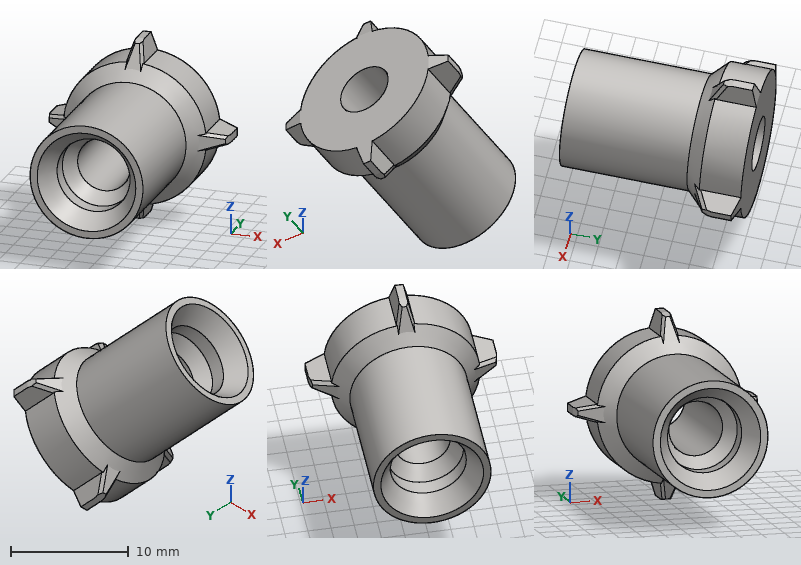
import cadquery as cq
import math

total_length = 16.2
tube_radius = 5.09
head_radius = 6.44
head_length = 3.63
shoulder_length = 1.4

mouth_radius = 4.44
seat_radius = 3.28
hole_radius = 2.37
mouth_cone_length = 1.84
seat_length = 1.37
throat_cone_length = 1.35

fin_count = 4
fin_tip_radius = 8.13
fin_inner_radius = 5.53
fin_tip_width = 0.72
fin_flank_angle = 14
fin_back_drop = 0.44
fin_tip_end = 2.18
fin_nose_radius = 7.93
fin_nose_depth = 3.02
fin_front_angle = 29
fin_chamfer_front = 0.21
fin_chamfer_flank = 0.33


def make_body():
    shoulder_end = total_length - head_length
    shoulder_start = shoulder_end - shoulder_length
    seat_start = mouth_cone_length
    seat_end = seat_start + seat_length
    throat_end = seat_end + throat_cone_length
    section = [
        (mouth_radius, 0),
        (tube_radius, 0),
        (tube_radius, shoulder_start),
        (head_radius, shoulder_end),
        (head_radius, total_length),
        (hole_radius, total_length),
        (hole_radius, throat_end),
        (seat_radius, seat_end),
        (seat_radius, seat_start),
    ]
    return cq.Workplane("XY").polyline(section).close().revolve(360, (0, 0), (0, 1))


def make_fin():
    """Fin on the +X side, narrowing towards its tip, with a bevelled front."""
    front_drop = (fin_nose_radius - fin_inner_radius) * math.tan(math.radians(fin_front_angle))
    side_profile = [
        (fin_inner_radius, total_length),
        (head_radius, total_length),
        (fin_tip_radius, total_length - fin_back_drop),
        (fin_tip_radius, total_length - fin_tip_end),
        (fin_nose_radius, total_length - fin_nose_depth),
        (fin_inner_radius, total_length - fin_nose_depth - front_drop),
    ]
    tip_half = fin_tip_width / 2
    flare = (fin_tip_radius - fin_inner_radius) * math.tan(math.radians(fin_flank_angle))
    root_half = tip_half + flare
    wedge = (
        cq.Workplane("XZ")
        .polyline([
            (fin_inner_radius, -root_half),
            (fin_tip_radius, -tip_half),
            (fin_tip_radius, tip_half),
            (fin_inner_radius, root_half),
        ])
        .close()
        .extrude(-total_length)
    )
    plate = cq.Workplane("XY").polyline(side_profile).close().extrude(root_half, both=True)
    fin = plate.intersect(wedge)

    flank_edges = fin.faces("<Y").edges("not |Z")
    return flank_edges.chamfer(fin_chamfer_flank, fin_chamfer_front)


result = make_body()
fin = make_fin()
for index in range(fin_count):
    result = result.union(fin.rotate((0, 0, 0), (0, 1, 0), index * 360 / fin_count))